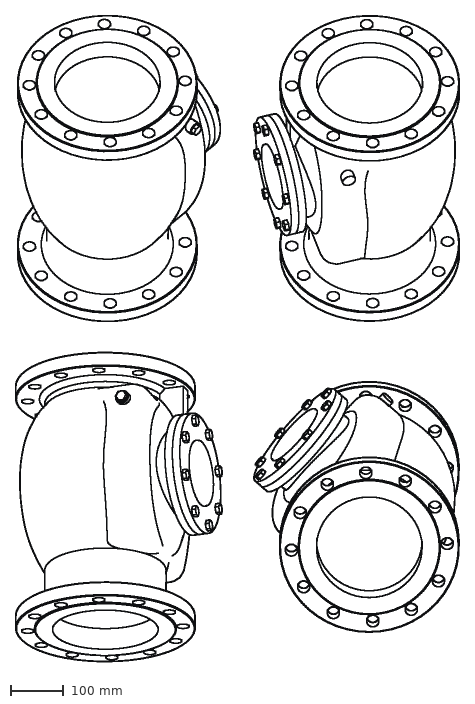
import cadquery as cq
import math


height = 500.0
flange_dia = 340.0
flange_thickness = 30.0
flange_edge_chamfer = 1.5
raised_face_dia = 265.0
raised_face_height = 2.0
pipe_dia = 230.0
hub_length = 10.0
lower_hub_fillet = 6.0
bore_dia = 200.0
bore_depth = 42.0
flange_hole_dia = 23.0
flange_hole_count = 12
flange_hole_circle_dia = 295.0

bulge_bottom = 120.5
bulge_top = 448.5
bulge_middle = 295.0
bulge_radius = 162.0
bulge_lower_point = (146.5, 190.0)
bulge_upper_point = (149.0, 391.5)

slab_bottom = 120.5
slab_top = 447.5
slab_middle = 302.5
slab_end_y = 126.0
slab_half_width_bottom = 107.0
slab_half_width_middle = 153.5
slab_half_width_top = 118.5
slab_end_fillet = 31.0
slab_corner_fillet = 24.0

boss_dia = 25.0
boss_end_x = 146.5
boss_y = 86.0
boss_z = 408.0

cover_axis_z = 293.0
cover_dia = 230.0
cover_thickness = 15.0
nozzle_dia = 180.0
nozzle_flange_back_y = 161.0
nozzle_flange_thickness = 15.0
nozzle_face_y = nozzle_flange_back_y + nozzle_flange_thickness
cover_face_y = nozzle_face_y + cover_thickness
rib_thickness = 25.0
pad_dia = 126.0
pad_height = 4.5
pad_edge_fillet = 2.0

hex_across_flats = 18.0
hex_across_corners = hex_across_flats / math.cos(math.radians(30))
hex_height = 7.5
bolt_dia = 12.0
bolt_hole_dia = 13.0
bolt_thread_depth = 10.0
bolt_count = 8
bolt_circle_dia = 200.0


def cover_plane(y):
    """Plane facing +Y, centred on the cover axis, with local Y along +Z."""
    return cq.Plane(origin=(0, y, cover_axis_z), xDir=(-1, 0, 0), normal=(0, 1, 0))


def bolt_circle(workplane, circle_dia, count):
    """Points on a bolt circle that straddle the main axes."""
    return workplane.polarArray(circle_dia / 2, 180 / count, 360, count)


def bulge_body():
    """Pipe, flange hubs and bulging chamber as one turned shape."""
    pipe_radius = pipe_dia / 2
    hub_radius = pipe_radius + hub_length
    hub_low = flange_thickness
    hub_high = height - flange_thickness
    profile = (
        cq.Workplane("XZ")
        .moveTo(0, hub_low)
        .lineTo(hub_radius, hub_low)
        .lineTo(pipe_radius, hub_low + hub_length)
        .lineTo(pipe_radius, bulge_bottom)
        .spline(
            [bulge_lower_point, (bulge_radius, bulge_middle), bulge_upper_point, (pipe_radius, bulge_top)],
            includeCurrent=True,
        )
        .lineTo(pipe_radius, hub_high - hub_length)
        .lineTo(hub_radius, hub_high)
        .lineTo(0, hub_high)
        .close()
    )
    body = profile.revolve(360, (0, 0, 0), (0, 1, 0))
    hub_edge = cq.selectors.BoxSelector(
        (-hub_radius, -hub_radius, hub_low + hub_length / 2),
        (hub_radius, hub_radius, hub_low + 2 * hub_length),
        boundingbox=True,
    )
    return body.edges("%CIRCLE").edges(hub_edge).fillet(lower_hub_fillet)


def bottom_flange():
    """Flange with its raised face down at Z = 0, bore and bolt holes not yet cut."""
    radius = flange_dia / 2
    face_radius = raised_face_dia / 2
    profile = (
        cq.Workplane("XZ")
        .lineTo(face_radius, 0)
        .lineTo(face_radius + raised_face_height, raised_face_height)
        .lineTo(radius - flange_edge_chamfer, raised_face_height)
        .lineTo(radius, raised_face_height + flange_edge_chamfer)
        .lineTo(radius, flange_thickness - flange_edge_chamfer)
        .lineTo(radius - flange_edge_chamfer, flange_thickness)
        .lineTo(0, flange_thickness)
        .close()
    )
    return profile.revolve(360, (0, 0, 0), (0, 1, 0))


def flange_cuts():
    """Blind bore and through bolt holes of the bottom flange."""
    bore = cq.Workplane("XY").circle(bore_dia / 2).extrude(bore_depth)
    holes = bolt_circle(cq.Workplane("XY"), flange_hole_circle_dia, flange_hole_count)
    return bore.union(holes.circle(flange_hole_dia / 2).extrude(flange_thickness))


def at_both_ends(shape):
    """The shape together with its mirror image at the other end of the pipe."""
    mirrored = shape.mirror("XY", (0, 0, height / 2))
    return shape.union(mirrored)


def hinge_slab():
    """Slab with bowed sides; its +Y end and its four side corners are rounded."""
    slab = (
        cq.Workplane("XZ")
        .moveTo(-slab_half_width_bottom, slab_bottom)
        .lineTo(slab_half_width_bottom, slab_bottom)
        .threePointArc((slab_half_width_middle, slab_middle), (slab_half_width_top, slab_top))
        .lineTo(-slab_half_width_top, slab_top)
        .threePointArc((-slab_half_width_middle, slab_middle), (-slab_half_width_bottom, slab_bottom))
        .close()
        .extrude(-slab_end_y)
    )
    slab = slab.edges("|Y").fillet(slab_corner_fillet)
    return slab.faces(">Y").edges().fillet(slab_end_fillet)


def hinge_bosses():
    """Round boss through the slab along X, with a hexagon plug head on its +X end."""
    plane = cq.Plane(origin=(boss_end_x, boss_y, boss_z), xDir=(0, 1, 0), normal=(1, 0, 0))
    bosses = cq.Workplane(plane).circle(boss_dia / 2).extrude(-2 * boss_end_x)
    plug_head = cq.Workplane(plane).polygon(6, hex_across_corners).extrude(hex_height)
    return bosses.union(plug_head)


def nozzle():
    """Service nozzle and its flange."""
    neck = cq.Workplane(cover_plane(0)).circle(nozzle_dia / 2).extrude(nozzle_flange_back_y)
    rim = (
        cq.Workplane(cover_plane(nozzle_flange_back_y))
        .circle(cover_dia / 2)
        .extrude(nozzle_flange_thickness)
    )
    return neck.union(rim)


def nozzle_rib():
    """Rib between the service nozzle and the top flange."""
    rib_height = height - flange_thickness - cover_axis_z
    return (
        cq.Workplane("XY")
        .workplane(offset=cover_axis_z)
        .box(rib_thickness, nozzle_flange_back_y, rib_height, centered=(True, False, False))
    )


def bolt_shanks(diameter, start_y, length):
    """Cylinders along +Y on the cover bolt circle."""
    points = bolt_circle(cq.Workplane(cover_plane(start_y)), bolt_circle_dia, bolt_count)
    return points.circle(diameter / 2).extrude(length)


def make_housing():
    body = bulge_body().union(at_both_ends(bottom_flange()))
    body = body.union(hinge_slab()).union(hinge_bosses())
    body = body.union(nozzle()).union(nozzle_rib())
    body = body.cut(at_both_ends(flange_cuts()))
    return body.cut(bolt_shanks(bolt_dia, nozzle_face_y - bolt_thread_depth, bolt_thread_depth))


def make_cover():
    disc = cq.Workplane(cover_plane(nozzle_face_y)).circle(cover_dia / 2).extrude(cover_thickness)
    pad = cq.Workplane(cover_plane(cover_face_y)).circle(pad_dia / 2).extrude(pad_height)
    pad = pad.faces(">Y").edges().fillet(pad_edge_fillet)
    return disc.union(pad).cut(bolt_shanks(bolt_hole_dia, nozzle_face_y, cover_thickness))


def make_bolt(angle):
    """Hexagon bolt at the given angle of the cover bolt circle, two corners along X."""
    x = bolt_circle_dia / 2 * math.cos(angle)
    z = bolt_circle_dia / 2 * math.sin(angle)
    shank_length = cover_thickness + bolt_thread_depth
    seat = cq.Workplane(cover_plane(cover_face_y)).center(x, z)
    head = seat.polygon(6, hex_across_corners).extrude(hex_height)
    shank = seat.circle(bolt_dia / 2).extrude(-shank_length)
    return head.union(shank)


housing = make_housing()
cover = make_cover()
bolt_pitch = 2 * math.pi / bolt_count
bolts = [make_bolt((index + 0.5) * bolt_pitch) for index in range(bolt_count)]

result = cq.Compound.makeCompound([housing.val(), cover.val(), *[bolt.val() for bolt in bolts]])